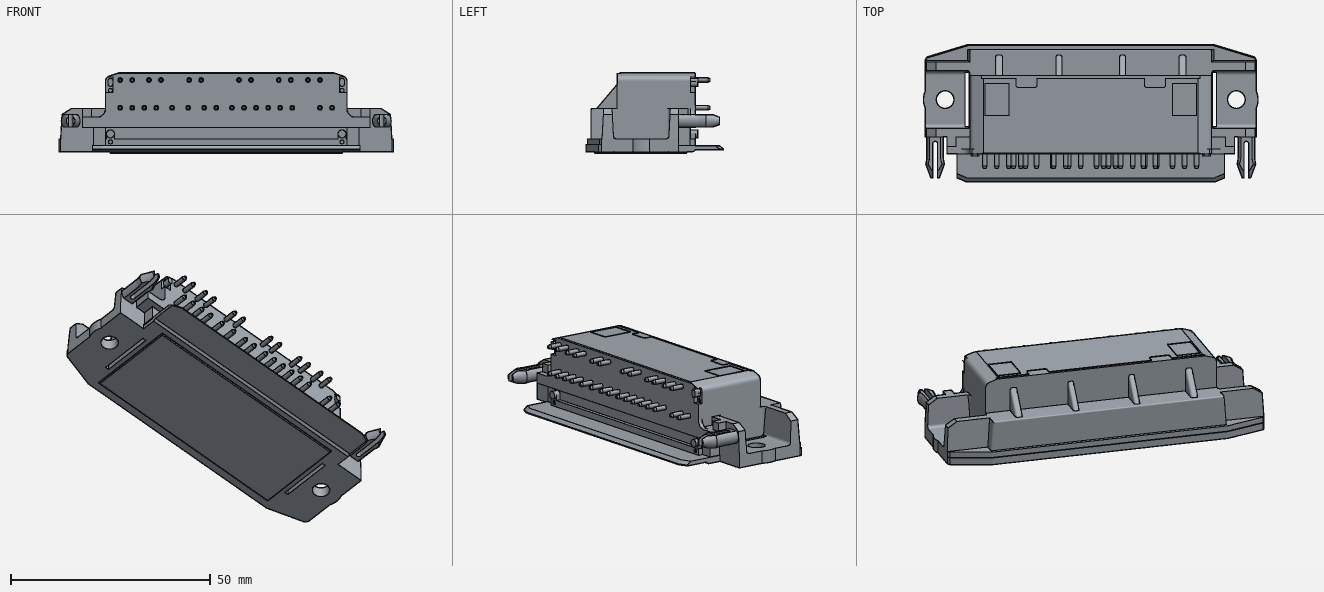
import cadquery as cq


TOP_Z = 20.3
BASE_Z = 0.4
FLOOR_Z = 3.7
STEP_Z = 11.3
BACK_Y = 13.85
FRONT_Y = -9.3
PIN_FACE_Y = -13.6
RECESS_Y = -12.4

BASE_HALF = 41.6
BASE_SIDE_END_Y = 9.9
BASE_CORNER_X = 41.05
BASE_CORNER_Y = 10.75
BASE_BACK_HALF = 30.8
LIP_Z = 2.3
LIP_DEPTH = 0.3
EAR_TOP_HALF = 41.2
EAR_CORNER_X = 38.9
EAR_CORNER_Z = 9.8
EAR_WALL_BACK_BOTTOM = 9.8
EAR_WALL_BACK_TOP = 9.4
EAR_WALL_INNER_TOP = 7.3
EAR_WALL_INNER_BOTTOM = 7.0
EAR_FILLET = 0.8
HOLE_X = 36.5
HOLE_DIAMETER = 4.4
EAR_BULGE_RADIUS = 42 - HOLE_X
CORNER_FILLET = 0.75
SLOT_INNER_X = 30.5
SLOT_OUTER_X = 31.5
SLOT_HALF_LENGTH = 6.8
PAD_HALF = 29.2
PAD_FRONT_Y = -11.5
PAD_BACK_Y = 11.75

HOOD_HALF = 30.3
HOOD_BACK_Y = 6.05
HOOD_TOP_HALF = 26.9
HOOD_SLOPE_X = 29.4
HOOD_SLOPE_Z = 19.5
HOOD_SIDE_Z = 18.1
HOOD_CORNER_RADIUS = 1.4
EDGE_CHAMFER = 0.25
STEP_BACK_Y = 12.6
STEP_BASE_HALF = 30.9
STEP_EDGE = 0.3
PANEL_X = 23.5
PANEL_WIDTH = 6.05
PANEL_LENGTH = 8.1
TAB_X = 16.1
TAB_WIDTH = 5.3
TAB_LENGTH = 3.0
TAB_ROUND = 0.7
BACK_STRIP_LENGTH = 0.75
MARK_DEPTH = 0.2

RIBS = ((8.0, 1.5), (23.0, 1.85))
RIB_BACK_Y = 11.2
RIB_TOP_Z = 17.4
RIB_ROUND_SHARE = 0.3

PLATE_HALF = 36.1
PLATE_BOTTOM_Z = 6.55
PLATE_TOP_Z = 9.15
PLATE_CURVE = 2.1
POST_WIDTH = 2.3
POST_FRONT_Y = -11.75
SIDE_BLOCK_HALF = 33.3
SIDE_BLOCK_FRONT_Y = -12.3
BAR_TOP_Z = 3.7

STUD_DIAMETER = 2.0
STUD_X = 29.05
STUD_END_Y = -14.2
LOWER_STUD_Z = 4.95
DIMPLE_DIAMETER = 1.0
DIMPLE_DEPTH = 0.4
LOWER_DIMPLE_Z = 2.9
UPPER_STUD_Z = 17.9
UPPER_DIMPLE_Z = 15.9
UPPER_STUD_WIDTH = 1.2
NOTCH_INNER_X = 28.5
NOTCH_BOTTOM_Z = 15.3
NOTCH_TOP_Z = 19.2

TONGUE_TOP_Z = 2.0
TONGUE_BOTTOM_Z = 0.9
TONGUE_HALF = 33.6
TONGUE_TIP_Y = -20.65
TONGUE_CORNER_Y = -19.65
TONGUE_TIP_HALF = 31.2
TONGUE_BEVEL_HEIGHT = 0.8
TONGUE_BEVEL_LENGTH = 1.0
ROOT_FRONT_Y = -12.9

PIN_DIAMETER = 1.2
PIN_TIP_Y = -17.3
PIN_TIP_LENGTH = 0.6
PIN_TIP_INSET = 0.25
PIN_PITCH = 3.0
UPPER_PIN_Z = 18.5
LOWER_PIN_Z = 11.5
UPPER_PIN_GROUPS = ((-26.6, 2), (-19.4, 2), (-9.3, 2), (3.2, 2), (13.2, 2), (20.5, 2))
LOWER_PIN_GROUPS = ((-26.6, 4), (-13.6, 1), (-9.6, 1), (-5.5, 2), (1.4, 6), (23.5, 2))

CLIP_X = 39.0
CLIP_Z = 8.2
CLIP_HEIGHT = 3.2
CLIP_RADIUS = 2.1
CLIP_BARB_RADIUS = 2.35
CLIP_BARB_START_Y = -14.6
CLIP_BARB_Y = -16.2
CLIP_TIP_RADIUS = 1.1
CLIP_TIP_Y = -19.65
CLIP_SLIT_WIDTH = 1.2
CLIP_SLIT_Y = -10.5


def block(x0, x1, y0, y1, z0, z1):
    return cq.Workplane("XY").box(x1 - x0, y1 - y0, z1 - z0, centered=False).translate((x0, y0, z0))


def rod(x, z, diameter, y_start, y_end):
    """Cylinder along -Y from y_start to y_end."""
    plane = cq.Workplane("XZ", origin=(x, y_start, z))
    return plane.circle(diameter / 2).extrude(y_start - y_end)


def both_sides(solid):
    """The solid together with its mirror image across X = 0."""
    return solid.union(solid.mirror("YZ"))


def base_layer(z0, z1, back_y, corner_y):
    outline = [
        (BASE_HALF, FRONT_Y), (BASE_HALF, BASE_SIDE_END_Y), (BASE_CORNER_X, corner_y),
        (BASE_BACK_HALF, back_y), (-BASE_BACK_HALF, back_y),
        (-BASE_CORNER_X, corner_y), (-BASE_HALF, BASE_SIDE_END_Y), (-BASE_HALF, FRONT_Y),
    ]
    return cq.Workplane("XY", origin=(0, 0, z0)).polyline(outline).close().extrude(z1 - z0)


def make_base():
    lower = base_layer(BASE_Z, LIP_Z, BACK_Y, BASE_CORNER_Y)
    upper = base_layer(LIP_Z, FLOOR_Z, BACK_Y - LIP_DEPTH, BASE_CORNER_Y - LIP_DEPTH)
    bulge = cq.Workplane("XY", origin=(HOLE_X, 0, BASE_Z)).circle(EAR_BULGE_RADIUS)
    bulge = bulge.extrude(FLOOR_Z - BASE_Z)
    pad = block(-PAD_HALF, PAD_HALF, PAD_FRONT_Y, PAD_BACK_Y, 0, BASE_Z)
    pad = pad.faces("<Z").edges().chamfer(EDGE_CHAMFER)
    return lower.union(upper).union(both_sides(bulge)).union(pad)


def make_ear():
    """Floor with two upright walls on the +X side, with rounded inner corners and bevelled outer tops."""
    fillet_z = FLOOR_Z + EAR_FILLET
    fillet_y = EAR_WALL_INNER_BOTTOM - EAR_FILLET
    profile = (
        cq.Workplane("YZ", origin=(HOOD_HALF, 0, 0))
        .moveTo(FRONT_Y, BASE_Z)
        .lineTo(EAR_WALL_BACK_BOTTOM, BASE_Z)
        .lineTo(EAR_WALL_BACK_BOTTOM, FLOOR_Z)
        .lineTo(EAR_WALL_BACK_TOP, STEP_Z)
        .lineTo(EAR_WALL_INNER_TOP, STEP_Z)
        .lineTo(EAR_WALL_INNER_BOTTOM, fillet_z)
        .radiusArc((fillet_y, FLOOR_Z), EAR_FILLET)
        .lineTo(-fillet_y, FLOOR_Z)
        .radiusArc((-EAR_WALL_INNER_BOTTOM, fillet_z), EAR_FILLET)
        .lineTo(-EAR_WALL_INNER_TOP, STEP_Z)
        .lineTo(FRONT_Y, STEP_Z)
        .close()
        .extrude(BASE_HALF - HOOD_HALF)
    )
    face = [
        (0, BASE_Z), (BASE_HALF, BASE_Z), (BASE_HALF, FLOOR_Z), (EAR_TOP_HALF, EAR_CORNER_Z),
        (EAR_CORNER_X, STEP_Z), (0, STEP_Z),
    ]
    envelope = cq.Workplane("XZ").polyline(face).close().extrude(BACK_Y, both=True)
    return profile.intersect(envelope)


def make_ear_openings():
    """Mounting hole and the long slot between ear and hood, as a cutter on the +X side."""
    hole = cq.Workplane("XY", origin=(HOLE_X, 0, 0)).circle(HOLE_DIAMETER / 2).extrude(STEP_Z)
    slot = block(SLOT_INNER_X, SLOT_OUTER_X, -SLOT_HALF_LENGTH, SLOT_HALF_LENGTH, 0, STEP_Z)
    return hole.union(slot)


def make_corner_fillets():
    """Concave fillets where both ear walls meet the +X side of the hood."""
    wall_y = EAR_WALL_INNER_TOP
    fillet = (
        cq.Workplane("XY", origin=(0, 0, FLOOR_Z))
        .moveTo(HOOD_HALF, wall_y)
        .lineTo(HOOD_HALF + CORNER_FILLET, wall_y)
        .radiusArc((HOOD_HALF, wall_y - CORNER_FILLET), -CORNER_FILLET)
        .close()
        .extrude(STEP_Z - FLOOR_Z)
    )
    return fillet.union(fillet.mirror("XZ"))


def make_hood():
    hood = (
        cq.Workplane("XZ", origin=(0, HOOD_BACK_Y, 0))
        .moveTo(-HOOD_HALF, PLATE_BOTTOM_Z)
        .lineTo(-HOOD_HALF, HOOD_SIDE_Z)
        .radiusArc((-HOOD_SLOPE_X, HOOD_SLOPE_Z), HOOD_CORNER_RADIUS)
        .lineTo(-HOOD_TOP_HALF, TOP_Z)
        .lineTo(HOOD_TOP_HALF, TOP_Z)
        .lineTo(HOOD_SLOPE_X, HOOD_SLOPE_Z)
        .radiusArc((HOOD_HALF, HOOD_SIDE_Z), HOOD_CORNER_RADIUS)
        .lineTo(HOOD_HALF, PLATE_BOTTOM_Z)
        .close()
        .extrude(HOOD_BACK_Y - PIN_FACE_Y)
    )
    hood = hood.faces(">Z").edges("<Y").chamfer(EDGE_CHAMFER)
    core = block(-HOOD_HALF, HOOD_HALF, RECESS_Y, HOOD_BACK_Y, BASE_Z, PLATE_BOTTOM_Z)
    step_face = [
        (-STEP_BASE_HALF, FLOOR_Z), (STEP_BASE_HALF, FLOOR_Z), (HOOD_HALF, STEP_Z), (-HOOD_HALF, STEP_Z),
    ]
    step = cq.Workplane("XZ", origin=(0, STEP_BACK_Y, 0)).polyline(step_face).close()
    step = step.extrude(STEP_BACK_Y - EAR_WALL_INNER_TOP)
    step = step.faces(">Y").edges("not <Z").fillet(STEP_EDGE)
    link = block(-HOOD_HALF, HOOD_HALF, HOOD_BACK_Y, EAR_WALL_INNER_TOP, BASE_Z, STEP_Z)
    return hood.union(core).union(link).union(step)


def make_top_marks():
    """Shallow recesses in the hood top: two label panels, a back strip and two rounded tabs."""
    floor = TOP_Z - MARK_DEPTH
    plane = cq.Workplane("XY", origin=(0, 0, floor))
    panels = plane.pushPoints([(-PANEL_X, 0), (PANEL_X, 0)]).rect(PANEL_WIDTH, PANEL_LENGTH)
    strip_front_y = HOOD_BACK_Y - BACK_STRIP_LENGTH
    strip = block(-HOOD_HALF, HOOD_HALF, strip_front_y, HOOD_BACK_Y, floor, TOP_Z)
    marks = panels.extrude(MARK_DEPTH).union(strip)
    for x in (-TAB_X, TAB_X):
        tab = block(x - TAB_WIDTH / 2, x + TAB_WIDTH / 2, HOOD_BACK_Y - TAB_LENGTH, HOOD_BACK_Y, floor, TOP_Z)
        marks = marks.union(tab.edges("|Z and <Y").fillet(TAB_ROUND))
    return marks


def make_rib(x, thickness):
    triangle = [(HOOD_BACK_Y, STEP_Z), (RIB_BACK_Y, STEP_Z), (HOOD_BACK_Y, RIB_TOP_Z)]
    rib = cq.Workplane("YZ", origin=(x - thickness / 2, 0, 0)).polyline(triangle).close().extrude(thickness)
    sloped = rib.faces(cq.selectors.DirectionMinMaxSelector(cq.Vector(0, 1, 1)))
    return sloped.edges("not |X").fillet(RIB_ROUND_SHARE * thickness)


def make_front_plate():
    """Wide plate in front of the ears that curves up into the hood sides."""
    foot_x = HOOD_HALF + PLATE_CURVE
    shoulder_z = PLATE_TOP_Z + PLATE_CURVE
    half = (
        cq.Workplane("XZ", origin=(0, RECESS_Y, 0))
        .moveTo(0, PLATE_BOTTOM_Z)
        .lineTo(PLATE_HALF, PLATE_BOTTOM_Z)
        .lineTo(PLATE_HALF, PLATE_TOP_Z)
        .lineTo(foot_x, PLATE_TOP_Z)
        .radiusArc((HOOD_HALF, shoulder_z), PLATE_CURVE)
        .lineTo(0, shoulder_z)
        .close()
        .extrude(RECESS_Y - PIN_FACE_Y)
    )
    shelf = block(HOOD_HALF, PLATE_HALF, RECESS_Y, FRONT_Y, PLATE_BOTTOM_Z, PLATE_TOP_Z)
    post = block(PLATE_HALF - POST_WIDTH, PLATE_HALF, POST_FRONT_Y, FRONT_Y, PLATE_BOTTOM_Z, STEP_Z)
    side_block = block(0, SIDE_BLOCK_HALF, SIDE_BLOCK_FRONT_Y, FRONT_Y, BASE_Z, PLATE_BOTTOM_Z)
    bar = block(0, HOOD_HALF, PIN_FACE_Y, RECESS_Y, TONGUE_BOTTOM_Z, BAR_TOP_Z)
    half = half.union(shelf).union(post).union(side_block).union(bar)
    return both_sides(half)


def make_lower_stud():
    """Stud on its pillar at the +X end of the lower bar."""
    radius = STUD_DIAMETER / 2
    pillar = block(STUD_X - radius, STUD_X + radius, PIN_FACE_Y, RECESS_Y, TONGUE_TOP_Z, LOWER_STUD_Z)
    return pillar.union(rod(STUD_X, LOWER_STUD_Z, STUD_DIAMETER, RECESS_Y, STUD_END_Y))


def make_upper_stud():
    """Slot-shaped stud inside the corner notch on the +X side."""
    plane = cq.Workplane("XZ", origin=(STUD_X, RECESS_Y, UPPER_STUD_Z))
    return plane.slot2D(STUD_DIAMETER, UPPER_STUD_WIDTH, 90).extrude(RECESS_Y - STUD_END_Y)


def make_tongue():
    outline = [
        (-TONGUE_HALF, FRONT_Y), (TONGUE_HALF, FRONT_Y), (TONGUE_HALF, TONGUE_CORNER_Y),
        (TONGUE_TIP_HALF, TONGUE_TIP_Y), (-TONGUE_TIP_HALF, TONGUE_TIP_Y), (-TONGUE_HALF, TONGUE_CORNER_Y),
    ]
    plane = cq.Workplane("XY", origin=(0, 0, TONGUE_BOTTOM_Z))
    tongue = plane.polyline(outline).close().extrude(TONGUE_TOP_Z - TONGUE_BOTTOM_Z)
    bevel_area = cq.selectors.BoxSelector(
        (-TONGUE_HALF, TONGUE_TIP_Y - 0.8, TONGUE_BOTTOM_Z),
        (TONGUE_HALF, TONGUE_CORNER_Y, TONGUE_TOP_Z + 0.8),
    )
    tongue = tongue.faces(">Z").edges(bevel_area).chamfer(TONGUE_BEVEL_HEIGHT, TONGUE_BEVEL_LENGTH)
    root = [
        (FRONT_Y, BASE_Z), (ROOT_FRONT_Y, BASE_Z), (PIN_FACE_Y, TONGUE_BOTTOM_Z), (FRONT_Y, TONGUE_BOTTOM_Z),
    ]
    root = cq.Workplane("YZ").polyline(root).close().extrude(TONGUE_HALF, both=True)
    return tongue.union(root)


def make_pin_row(groups, z):
    row = cq.Workplane("XY")
    for first_x, count in groups:
        for i in range(count):
            pin = rod(first_x + i * PIN_PITCH, z, PIN_DIAMETER, PIN_FACE_Y, PIN_TIP_Y)
            row = row.add(pin.faces("<Y").chamfer(PIN_TIP_LENGTH, PIN_TIP_INSET))
    return row.combine()


def make_clip():
    """Turned barb with flats above and below, split lengthwise by a round-ended slit."""
    profile = [
        (0, FRONT_Y), (CLIP_RADIUS, FRONT_Y), (CLIP_RADIUS, CLIP_BARB_START_Y),
        (CLIP_BARB_RADIUS, CLIP_BARB_Y),
        (CLIP_TIP_RADIUS, CLIP_TIP_Y), (0, CLIP_TIP_Y),
    ]
    barb = cq.Workplane("XY").polyline(profile).close().revolve(360, (0, 0, 0), (0, 1, 0))
    flats = block(-CLIP_BARB_RADIUS, CLIP_BARB_RADIUS, CLIP_TIP_Y, FRONT_Y, -CLIP_HEIGHT / 2, CLIP_HEIGHT / 2)
    half_slit = CLIP_SLIT_WIDTH / 2
    slit_round_y = CLIP_SLIT_Y - half_slit
    slit = block(-half_slit, half_slit, CLIP_TIP_Y, slit_round_y, -CLIP_HEIGHT, CLIP_HEIGHT)
    slit_end = cq.Workplane("XY", origin=(0, slit_round_y, 0)).circle(half_slit)
    slit_end = slit_end.extrude(CLIP_HEIGHT, both=True)
    return barb.intersect(flats).cut(slit).cut(slit_end).translate((CLIP_X, 0, CLIP_Z))


result = make_base().union(both_sides(make_ear())).union(make_hood())
result = result.union(make_front_plate()).union(make_tongue())
result = result.cut(both_sides(make_ear_openings())).cut(make_top_marks())
result = result.union(both_sides(make_corner_fillets()))

notch = block(NOTCH_INNER_X, HOOD_HALF, PIN_FACE_Y, RECESS_Y, NOTCH_BOTTOM_Z, NOTCH_TOP_Z)
result = result.cut(both_sides(notch))
result = result.union(both_sides(make_upper_stud())).union(both_sides(make_lower_stud()))
for dimple_z, surface_y in ((LOWER_DIMPLE_Z, PIN_FACE_Y), (UPPER_DIMPLE_Z, RECESS_Y)):
    dimple = rod(STUD_X, dimple_z, DIMPLE_DIAMETER, surface_y + DIMPLE_DEPTH, surface_y)
    result = result.cut(both_sides(dimple))

for rib_x, rib_thickness in RIBS:
    result = result.union(both_sides(make_rib(rib_x, rib_thickness)))
result = result.union(make_pin_row(UPPER_PIN_GROUPS, UPPER_PIN_Z))
result = result.union(make_pin_row(LOWER_PIN_GROUPS, LOWER_PIN_Z))
result = result.union(both_sides(make_clip()))